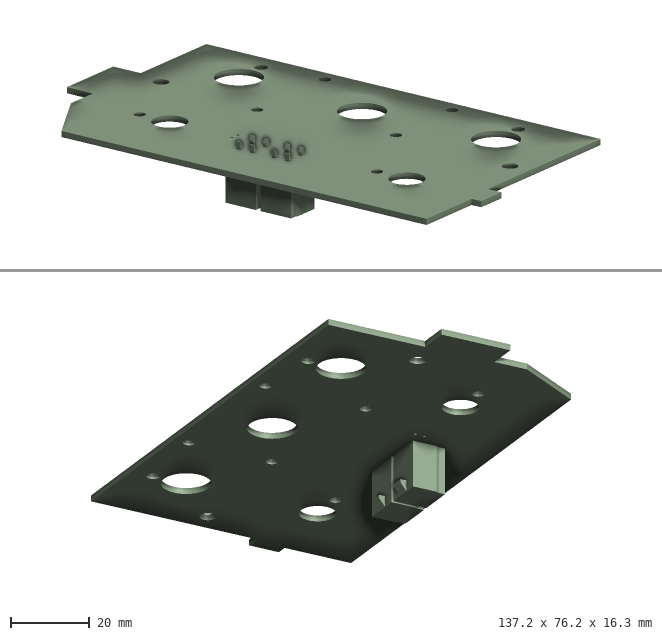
import cadquery as cq
import math

BOARD_LENGTH = 137.2
BOARD_DEPTH = 76.2
BOARD_THICKNESS = 1.6

UPPER_LEFT_X = -60.0
LOWER_LEFT_X = -60.4
UPPER_RIGHT_X = 64.4
LOWER_RIGHT_X = 65.6
LEFT_TAB_TOP_Y = 10.0
LEFT_TAB_BOTTOM_Y = -9.9
RIGHT_TAB_TOP_Y = -10.2
RIGHT_TAB_BOTTOM_Y = -18.8
CORNER_CUT_WIDTH = 10.8
CORNER_CUT_ANGLE = 60.0

SENSOR_DIAMETER = 12.8
KNOB_DIAMETER = 9.5
MOUNT_DIAMETER = 4.3
PEG_DIAMETER = 3.5
SCREW_DIAMETER = 3.2
PIN_HOLE_DIAMETER = 1.4
VIA_DIAMETER = 0.9

LEFT_SENSOR_X = -38.0
RIGHT_SENSOR_X = 43.1
SENSOR_Y = 22.2
MIDDLE_SENSOR = (2.7, 19.6)
PEG_Y = 31.7
MOUNT_Y = 7.5
LEFT_MOUNT_X = -51.7
RIGHT_MOUNT_X = 58.3
LEFT_SCREW_X = -19.3
RIGHT_SCREW_X = 20.7
UPPER_SCREW_Y = 33.8
LOWER_LEFT_SCREW_Y = 4.7
LOWER_RIGHT_SCREW_Y = 9.7
KNOB_Y = -15.9
LEFT_KNOB_X = -31.7
RIGHT_KNOB_X = RIGHT_SENSOR_X
KNOB_SCREW_OFFSET = 9.5
VIA_X = -11.7
VIA_TOP_Y = -14.0
VIA_PITCH = 2.6

CONNECTOR_CENTRES_X = (-2.9, 8.2)
PIN_CENTRE_Y = -19.6
PIN_PITCH_X = 4.3
PIN_PITCH_Y = 5.5

HOUSING_HEIGHT = 12.8
HOUSING_FRONT_Y = -24.7
HOUSING_BACK_Y = -15.2
HOUSING_WIDTH = 10.3
HOUSING_FRONT_WIDTH = 9.6
TAPER_FRONT_Y = -22.9
TAPER_BACK_Y = -22.1

LATCH_WIDTH = 3.4
LATCH_REACH = 1.8
LATCH_HEIGHT = 3.0
LATCH_TIP_HEIGHT = 0.8

NOTCH_WIDTH = 2.2
NOTCH_HEIGHT = 0.8

PIN_WIDTH = 1.17
PIN_THICKNESS = 0.7
PIN_PROTRUSION = 1.9
PIN_TIP_THICKNESS = 0.3
PIN_TIP_HEIGHT = 1.1


def pin_positions(centre_x):
    """Centres of the four pins of the connector at centre_x."""
    return [
        (centre_x + side * PIN_PITCH_X / 2, PIN_CENTRE_Y + row * PIN_PITCH_Y / 2)
        for side in (-1, 1)
        for row in (-1, 1)
    ]


def board_blank():
    """Flat plate with a tab on each end and one corner cut off."""
    end_x = BOARD_LENGTH / 2
    edge_y = BOARD_DEPTH / 2
    corner_cut_height = CORNER_CUT_WIDTH * math.tan(math.radians(CORNER_CUT_ANGLE))
    outline = [
        (UPPER_LEFT_X, edge_y),
        (UPPER_RIGHT_X, edge_y),
        (UPPER_RIGHT_X, RIGHT_TAB_TOP_Y),
        (end_x, RIGHT_TAB_TOP_Y),
        (end_x, RIGHT_TAB_BOTTOM_Y),
        (LOWER_RIGHT_X, RIGHT_TAB_BOTTOM_Y),
        (LOWER_RIGHT_X, -edge_y),
        (LOWER_LEFT_X + CORNER_CUT_WIDTH, -edge_y),
        (LOWER_LEFT_X, -edge_y + corner_cut_height),
        (LOWER_LEFT_X, LEFT_TAB_BOTTOM_Y),
        (-end_x, LEFT_TAB_BOTTOM_Y),
        (-end_x, LEFT_TAB_TOP_Y),
        (UPPER_LEFT_X, LEFT_TAB_TOP_Y),
    ]
    return cq.Workplane("XY").polyline(outline).close().extrude(BOARD_THICKNESS)


def through_holes(diameter, centres):
    """Cutters for round holes through the board."""
    return cq.Workplane("XY").pushPoints(centres).circle(diameter / 2).extrude(BOARD_THICKNESS)


def make_board():
    """Board with all its holes."""
    sensors = [(LEFT_SENSOR_X, SENSOR_Y), (RIGHT_SENSOR_X, SENSOR_Y), MIDDLE_SENSOR]
    pegs = [(LEFT_SENSOR_X, PEG_Y), (RIGHT_SENSOR_X, PEG_Y)]
    mounts = [(LEFT_MOUNT_X, MOUNT_Y), (RIGHT_MOUNT_X, MOUNT_Y)]
    knobs = [(LEFT_KNOB_X, KNOB_Y), (RIGHT_KNOB_X, KNOB_Y)]
    screws = [
        (LEFT_SCREW_X, UPPER_SCREW_Y),
        (RIGHT_SCREW_X, UPPER_SCREW_Y),
        (LEFT_SCREW_X, LOWER_LEFT_SCREW_Y),
        (RIGHT_SCREW_X, LOWER_RIGHT_SCREW_Y),
        (LEFT_KNOB_X - KNOB_SCREW_OFFSET, KNOB_Y),
        (RIGHT_KNOB_X - KNOB_SCREW_OFFSET, KNOB_Y),
    ]
    vias = [(VIA_X, VIA_TOP_Y), (VIA_X, VIA_TOP_Y - VIA_PITCH)]
    pin_holes = [centre for x in CONNECTOR_CENTRES_X for centre in pin_positions(x)]
    holes = [
        (SENSOR_DIAMETER, sensors),
        (KNOB_DIAMETER, knobs),
        (MOUNT_DIAMETER, mounts),
        (PEG_DIAMETER, pegs),
        (SCREW_DIAMETER, screws),
        (PIN_HOLE_DIAMETER, pin_holes),
        (VIA_DIAMETER, vias),
    ]
    board = board_blank()
    for diameter, centres in holes:
        board = board.cut(through_holes(diameter, centres))
    return board


def housing_block(centre_x):
    """Housing whose sides taper in to a narrower front."""
    half_front = HOUSING_FRONT_WIDTH / 2
    half_back = HOUSING_WIDTH / 2
    outline = [
        (centre_x - half_front, HOUSING_FRONT_Y),
        (centre_x + half_front, HOUSING_FRONT_Y),
        (centre_x + half_front, TAPER_FRONT_Y),
        (centre_x + half_back, TAPER_BACK_Y),
        (centre_x + half_back, HOUSING_BACK_Y),
        (centre_x - half_back, HOUSING_BACK_Y),
        (centre_x - half_back, TAPER_BACK_Y),
        (centre_x - half_front, TAPER_FRONT_Y),
    ]
    return cq.Workplane("XY").polyline(outline).close().extrude(-HOUSING_HEIGHT)


def latch_hook(centre_x):
    """Hook with a flat top and a ramp below its tip."""
    tip_y = HOUSING_BACK_Y + LATCH_REACH
    top_z = LATCH_HEIGHT - HOUSING_HEIGHT
    profile = [
        (HOUSING_BACK_Y, -HOUSING_HEIGHT),
        (tip_y, top_z - LATCH_TIP_HEIGHT),
        (tip_y, top_z),
        (HOUSING_BACK_Y, top_z),
    ]
    hook = cq.Workplane("YZ").polyline(profile).close().extrude(LATCH_WIDTH / 2, both=True)
    return hook.translate((centre_x, 0, 0))


def front_notch(pin_x, pin_y):
    """Cutter for a notch from the housing front to the back face of a pin."""
    depth = pin_y + PIN_THICKNESS / 2 - HOUSING_FRONT_Y
    notch = cq.Workplane("XY").box(NOTCH_WIDTH, depth, NOTCH_HEIGHT, centered=(True, False, False))
    return notch.translate((pin_x, HOUSING_FRONT_Y, -NOTCH_HEIGHT))


def pin_tail(pin_x, pin_y):
    """Pin rising from the level of the notch floors, its tip cut back on the side facing the other row."""
    outward = math.copysign(1, pin_y - PIN_CENTRE_Y)
    outer_y = pin_y + outward * PIN_THICKNESS / 2
    inner_y = pin_y - outward * PIN_THICKNESS / 2
    tip_y = outer_y - outward * PIN_TIP_THICKNESS
    top_z = BOARD_THICKNESS + PIN_PROTRUSION
    profile = [
        (outer_y, -NOTCH_HEIGHT),
        (outer_y, top_z),
        (tip_y, top_z),
        (inner_y, top_z - PIN_TIP_HEIGHT),
        (inner_y, -NOTCH_HEIGHT),
    ]
    tail = cq.Workplane("YZ").polyline(profile).close().extrude(PIN_WIDTH / 2, both=True)
    return tail.translate((pin_x, 0, 0))


def make_connector(centre_x):
    """One connector: housing, latch hook and four pins in one piece."""
    connector = housing_block(centre_x).union(latch_hook(centre_x))
    for pin_x, pin_y in pin_positions(centre_x):
        if pin_y < PIN_CENTRE_Y:
            connector = connector.cut(front_notch(pin_x, pin_y))
        connector = connector.union(pin_tail(pin_x, pin_y))
    return connector


board = make_board()
connectors = [make_connector(centre_x) for centre_x in CONNECTOR_CENTRES_X]

bodies = [board, *connectors]
result = cq.Compound.makeCompound([body.solids().val() for body in bodies])